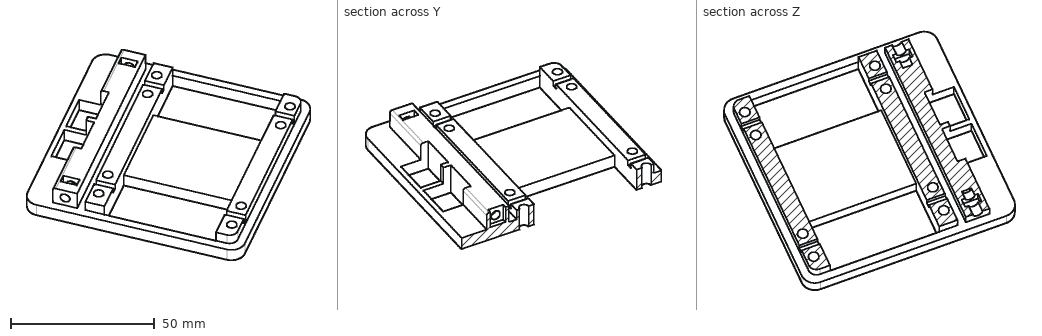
import cadquery as cq

SIZE = 80.0
BASE_HEIGHT = 5.0
CORNER_RADIUS = 5.0
RIM = 3.0
HALF = SIZE / 2
INNER_HALF = HALF - RIM

RAIL_WIDTH = 7.0
RAIL_HEIGHT = 9.0
RAIL_LEFT = -18.0
RAIL_RIGHT = INNER_HALF
INNER_RADIUS = 3.0

PLATE_WIDTH = 32.0

SCREW_DIAMETER = 3.5
SCREW_INSET = 3.0
SCREW_Y_INNER = 21.5
SCREW_Y_OUTER = 31.5
GROOVE_WIDTH = 2.0
GROOVE_DEPTH = 2.0
GROOVE_Y = (SCREW_Y_INNER + SCREW_Y_OUTER) / 2

BLOCK_LEFT = -30.0
BLOCK_WIDTH = 9.0
BLOCK_TOP = 12.0
BLOCK_EDGE_RADIUS = 1.0

WINDOW_LEFT = -38.0
WINDOW_SIZE_X = 11.0
WINDOW_SIZE_Y = 14.0
RIB_THICKNESS = 2.0

BORE_DIAMETER = 3.5
BORE_DEPTH = 10.0
BORE_X = BLOCK_LEFT + BLOCK_WIDTH / 2
BORE_Z = (BASE_HEIGHT + BLOCK_TOP) / 2
NUT_WIDTH = 6.0
NUT_THICKNESS = 3.0
NUT_Y = SCREW_Y_OUTER
NUT_FLOOR = BORE_Z - NUT_WIDTH / 2

CUT_MARGIN = 1.0


def box(x_min, x_max, y_min, y_max, z_min, z_max):
    """Axis-aligned box given by its limits."""
    size = (x_max - x_min, y_max - y_min, z_max - z_min)
    return cq.Workplane("XY").box(*size, centered=False).translate((x_min, y_min, z_min))


def rounded_area(height):
    """Solid spanning both rails, rounded at its two +X corners."""
    area = box(RAIL_LEFT, RAIL_RIGHT, -INNER_HALF, INNER_HALF, 0, height)
    return area.edges("|Z and >X").fillet(INNER_RADIUS)


def make_base():
    base = box(-HALF, HALF, -HALF, HALF, 0, BASE_HEIGHT)
    base = base.edges("|Z").fillet(CORNER_RADIUS)
    return base.cut(rounded_area(BASE_HEIGHT))


def make_rails_and_plate():
    gap_left = RAIL_LEFT + RAIL_WIDTH
    gap_right = RAIL_RIGHT - RAIL_WIDTH
    gap = box(gap_left, gap_right, -INNER_HALF, INNER_HALF, 0, RAIL_HEIGHT)
    plate = box(gap_left, gap_right, -PLATE_WIDTH / 2, PLATE_WIDTH / 2, 0, BASE_HEIGHT)
    return rounded_area(RAIL_HEIGHT).cut(gap).union(plate)


def make_screw_holes():
    left = RAIL_LEFT + SCREW_INSET
    right = RAIL_RIGHT - SCREW_INSET
    rows = (-SCREW_Y_OUTER, -SCREW_Y_INNER, SCREW_Y_INNER, SCREW_Y_OUTER)
    centres = [(x, y) for x in (left, right) for y in rows]
    return cq.Workplane("XY").pushPoints(centres).circle(SCREW_DIAMETER / 2).extrude(RAIL_HEIGHT)


def make_groove(side):
    """Groove across both rails; side is +1 or -1 along Y."""
    y_min = side * GROOVE_Y - GROOVE_WIDTH / 2
    return box(RAIL_LEFT, RAIL_RIGHT, y_min, y_min + GROOVE_WIDTH, RAIL_HEIGHT - GROOVE_DEPTH, RAIL_HEIGHT)


def make_block():
    """Clamp block with its upper -X edge rounded, except on the rib."""
    right = BLOCK_LEFT + BLOCK_WIDTH
    block = box(BLOCK_LEFT, right, -INNER_HALF, INNER_HALF, BASE_HEIGHT, BLOCK_TOP)
    block = block.edges("|Y and >Z and <X").fillet(BLOCK_EDGE_RADIUS)
    rib_half = RIB_THICKNESS / 2
    rib = box(BLOCK_LEFT, right, -rib_half, rib_half, BASE_HEIGHT, BLOCK_TOP)
    return block.union(rib)


def make_window(side):
    y_centre = side * (RIB_THICKNESS + WINDOW_SIZE_Y) / 2
    y_min = y_centre - WINDOW_SIZE_Y / 2
    right = WINDOW_LEFT + WINDOW_SIZE_X
    return box(WINDOW_LEFT, right, y_min, y_min + WINDOW_SIZE_Y, 0, BLOCK_TOP + CUT_MARGIN)


def make_nut_trap(side):
    """Bore from the end face of the block, crossed by a nut slot open at the top."""
    start = cq.Vector(BORE_X, side * INNER_HALF, BORE_Z)
    inward = cq.Vector(0, -side, 0)
    bore = cq.Solid.makeCylinder(BORE_DIAMETER / 2, BORE_DEPTH, start, inward)
    x_min = BORE_X - NUT_WIDTH / 2
    y_min = side * NUT_Y - NUT_THICKNESS / 2
    slot = box(x_min, x_min + NUT_WIDTH, y_min, y_min + NUT_THICKNESS, NUT_FLOOR, BLOCK_TOP)
    return slot.union(cq.Workplane(obj=bore))


result = make_base().union(make_rails_and_plate()).union(make_block())
result = result.cut(make_screw_holes())
for end in (-1, 1):
    result = result.cut(make_groove(end))
    result = result.cut(make_window(end))
    result = result.cut(make_nut_trap(end))